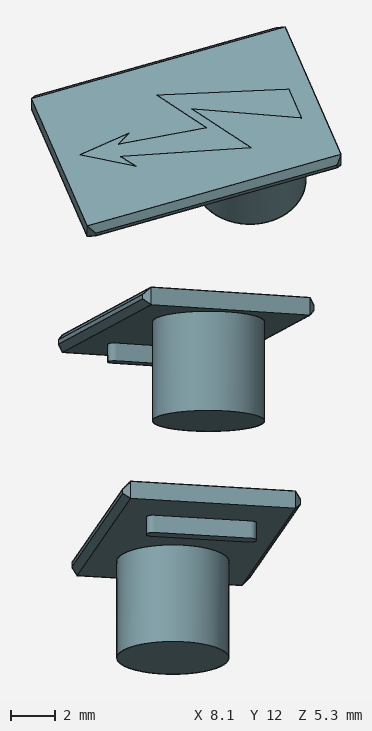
import cadquery as cq

PLATE_WIDTH = 8.1
PLATE_LENGTH = 12.0
PLATE_THICKNESS = 0.8
PLATE_CHAMFER = 0.3

PEG_DIAMETER = 5.0
PEG_HEIGHT = 4.5
PEG_Y = 3.01

RIB_LENGTH = PEG_DIAMETER
RIB_WIDTH = 0.61
RIB_HEIGHT = 0.8
RIB_Y = -3.4

ARROW_DEPTH = PLATE_THICKNESS / 2
ARROW_TOP_Y = 5.0
ARROW_OUTLINE = [
    (-0.43, ARROW_TOP_Y),
    (1.26, ARROW_TOP_Y),
    (-0.84, 0.55),
    (2.08, 2.34),
    (0.6, -3.32),
    (1.35, -2.85),
    (-0.08, -4.99),
    (-0.49, -2.53),
    (-0.07, -3.18),
    (0.37, 0.83),
    (-2.08, -0.66),
]


def make_plate():
    """Rectangular plate with every edge of its two X end faces chamfered."""
    plate = cq.Workplane("XY").box(
        PLATE_WIDTH, PLATE_LENGTH, PLATE_THICKNESS, centered=(True, True, False)
    )
    return plate.faces("<X or >X").edges().chamfer(PLATE_CHAMFER)


def make_peg():
    """Solid cylinder hanging from the underside of the plate."""
    return cq.Workplane("XY").center(0, PEG_Y).circle(PEG_DIAMETER / 2).extrude(-PEG_HEIGHT)


def make_rib():
    """Round-ended rib hanging from the underside of the plate."""
    return cq.Workplane("XY").center(0, RIB_Y).slot2D(RIB_LENGTH, RIB_WIDTH).extrude(-RIB_HEIGHT)


def make_arrow():
    """Lightning arrow inlay, flush with the top of the plate."""
    top = cq.Workplane("XY").workplane(offset=PLATE_THICKNESS)
    return top.polyline(ARROW_OUTLINE).close().extrude(-ARROW_DEPTH)


def make_sign(arrow):
    """Plate, peg and rib in one piece, with a recess for the arrow."""
    return make_plate().union(make_peg()).union(make_rib()).cut(arrow)


arrow = make_arrow()
sign = make_sign(arrow)

result = cq.Compound.makeCompound([sign.solids().val(), arrow.val()])